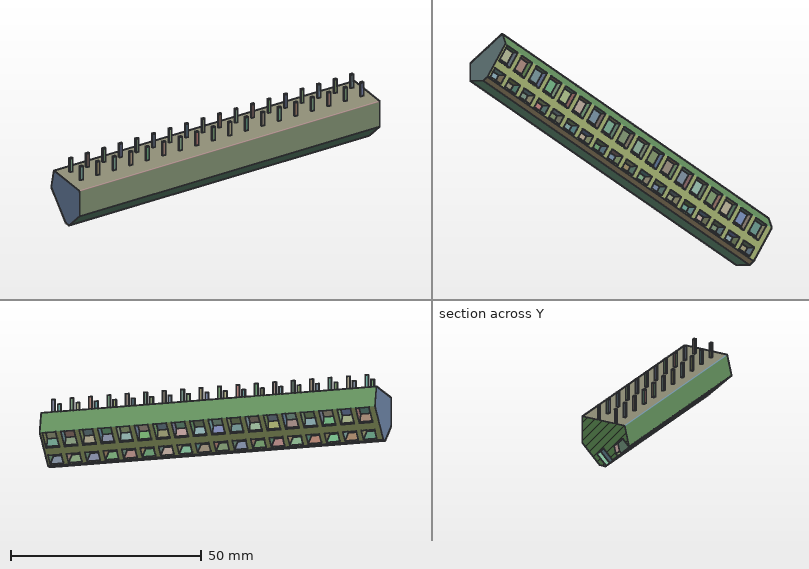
import cadquery as cq
import math

POLE_COUNT = 18
PITCH = 5.08
END_WALL = 1.0
LENGTH = POLE_COUNT * PITCH + END_WALL
WIDTH = 14.295
HEIGHT = 13.0
NOSE_HEIGHT = 7.3
BACK_HEIGHT = 5.32
FRONT_LEAN = 1.35
EDGE_RADIUS = 0.25

PIN_ROWS_X = (4.2, 4.2 + PITCH)
PIN_THICKNESS = 0.6
PIN_WIDTH = 0.85
PIN_LENGTH = 4.0

POCKET_WIDTH = 3.65
WIRE_BOTTOM = 0.35
WIRE_TOP = 2.25
WIRE_DEPTH = 4.0
LEVER_BOTTOM = 3.85
LEVER_TOP = 7.15
LEVER_SHALLOW_DEPTH = 0.8
RAMP_LEAN = 13.3
RAMP_RISE = 2.2

POLES_Y = [LENGTH / 2 - PITCH * (i + 0.5) for i in range(POLE_COUNT)]


def prism(points, length, center_y):
    """Extrude an XZ outline along Y, centred on center_y."""
    outline = cq.Workplane("XZ", origin=(0, center_y, 0)).polyline(points).close()
    return outline.extrude(length / 2, both=True)


def front_face_point(height, depth=0):
    """The XZ point at a height on the 45 degree front face, sunk by depth at right angles to it."""
    shift = depth * math.sqrt(0.5)
    return (NOSE_HEIGHT - height + shift, height + shift)


def housing():
    points = [
        (NOSE_HEIGHT, 0),
        (WIDTH - BACK_HEIGHT, 0),
        (WIDTH, BACK_HEIGHT),
        (WIDTH, HEIGHT),
        (FRONT_LEAN, HEIGHT),
        (0, NOSE_HEIGHT),
    ]
    return prism(points, LENGTH, 0).edges("|Y and (>Z or <X)").fillet(EDGE_RADIUS)


def wire_pocket(y):
    points = [
        front_face_point(WIRE_BOTTOM),
        front_face_point(WIRE_TOP),
        front_face_point(WIRE_TOP, WIRE_DEPTH),
        front_face_point(WIRE_BOTTOM, WIRE_DEPTH),
    ]
    return prism(points, POCKET_WIDTH, y)


def lever_pocket(y):
    """A pocket whose floor drops along a steep ramp to a deeper part, parallel to the front face."""
    ramp_start = front_face_point(LEVER_BOTTOM, LEVER_SHALLOW_DEPTH)
    ramp_run = RAMP_RISE * math.tan(math.radians(RAMP_LEAN))
    ramp_end = (ramp_start[0] + ramp_run, ramp_start[1] + RAMP_RISE)
    deep_depth = (ramp_end[0] + ramp_end[1] - NOSE_HEIGHT) * math.sqrt(0.5)
    points = [
        front_face_point(LEVER_BOTTOM),
        front_face_point(LEVER_TOP),
        front_face_point(LEVER_TOP, deep_depth),
        ramp_end,
        ramp_start,
    ]
    return prism(points, POCKET_WIDTH, y)


def pins(x):
    centers = [(x, y) for y in POLES_Y]
    row = cq.Workplane("XY", origin=(0, 0, HEIGHT)).pushPoints(centers)
    return row.rect(PIN_THICKNESS, PIN_WIDTH).extrude(PIN_LENGTH)


result = housing()
for pole_y in POLES_Y:
    result = result.cut(wire_pocket(pole_y))
    result = result.cut(lever_pocket(pole_y))
for row_x in PIN_ROWS_X:
    result = result.union(pins(row_x))